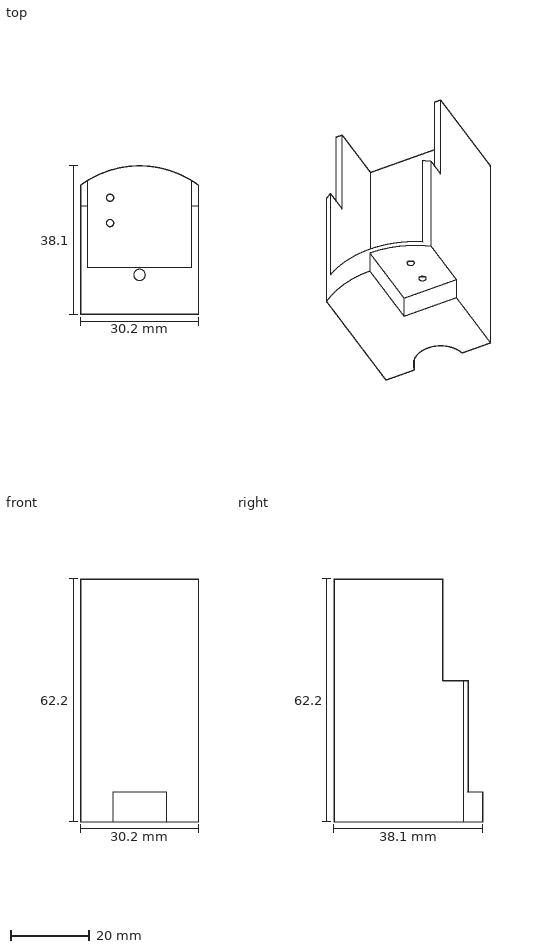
import cadquery as cq

width = 30.2
depth = 38.1
height = 62.2
half_width = width / 2
back_corner_y = 33.1

wall = 1.8
bay_width = width - 2 * wall
bay_front_y = 12.1
floor_z = 7.7

step_y = 27.8
step_z = 36.2

pocket_front_y = 19.05
floor_thickness = 1.4
pocket_height = floor_z - floor_thickness

recess_radius = 7.0
recess_center_y = -1.25

top_hole_diameter = 2.9
top_hole_y = 10.15
top_hole_depth = 12.45

floor_hole_diameter = 1.8
floor_hole_x = -half_width / 2
floor_hole_ys = (23.4, 29.9)


def box_between(x_range, y_range, z_range):
    """Box spanning the given (low, high) range along each axis."""
    low, high = zip(x_range, y_range, z_range)
    size = [b - a for a, b in zip(low, high)]
    return cq.Workplane("XY").box(*size, centered=False).translate(low)


def upright_cylinder(x, y, diameter, z_low, z_high):
    """Vertical cylinder between two heights."""
    return (
        cq.Workplane("XY", origin=(x, y, z_low))
        .circle(diameter / 2)
        .extrude(z_high - z_low)
    )


body = (
    cq.Workplane("XY")
    .moveTo(-half_width, 0)
    .lineTo(half_width, 0)
    .lineTo(half_width, back_corner_y)
    .threePointArc((0, depth), (-half_width, back_corner_y))
    .close()
    .extrude(height)
)

bay = box_between((-bay_width / 2, bay_width / 2), (bay_front_y, depth), (floor_z, height))
wall_step = box_between((-half_width, half_width), (step_y, depth), (step_z, height))
pocket = box_between((-half_width, 0), (pocket_front_y, depth), (0, pocket_height))
front_recess = upright_cylinder(0, recess_center_y, 2 * recess_radius, 0, floor_z)
top_hole = upright_cylinder(0, top_hole_y, top_hole_diameter, height - top_hole_depth, height)

result = body.cut(bay).cut(wall_step).cut(pocket).cut(front_recess).cut(top_hole)

for hole_y in floor_hole_ys:
    floor_hole = upright_cylinder(floor_hole_x, hole_y, floor_hole_diameter, 0, floor_z)
    result = result.cut(floor_hole)